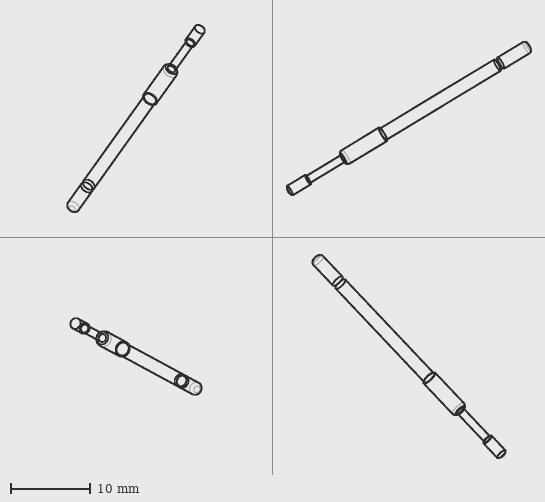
import cadquery as cq

total_length = 36.3

barrel_diameter = 1.67
barrel_radius = barrel_diameter / 2
tail_fillet = 0.4

groove_start = 4.2
groove_width = 0.55
groove_depth = 0.15
groove_end = groove_start + groove_width
groove_middle = groove_start + groove_width / 2
groove_floor_radius = barrel_radius - groove_depth

collar_diameter = 2.0
collar_radius = collar_diameter / 2
collar_start = 22.0
collar_end = 28.02
lead_in_length = 0.4
lead_in_drop = 0.18
lead_in_arc_radius = (lead_in_length**2 + lead_in_drop**2) / (2 * lead_in_drop)

shaft_diameter = 1.0
shaft_radius = shaft_diameter / 2
head_diameter = 1.4
head_radius = head_diameter / 2
head_length = 2.98
head_start = total_length - head_length
dome_height = 0.25
dome_radius = (head_radius**2 + dome_height**2) / (2 * dome_height)

half_section = (
    cq.Workplane("XY")
    .lineTo(barrel_radius - tail_fillet, 0)
    .radiusArc((barrel_radius, tail_fillet), -tail_fillet)
    .lineTo(barrel_radius, groove_start)
    .threePointArc((groove_floor_radius, groove_middle), (barrel_radius, groove_end))
    .lineTo(barrel_radius, collar_start)
    .lineTo(collar_radius, collar_start)
    .lineTo(collar_radius, collar_end - lead_in_length)
    .radiusArc((collar_radius - lead_in_drop, collar_end), -lead_in_arc_radius)
    .lineTo(shaft_radius, collar_end)
    .lineTo(shaft_radius, head_start)
    .lineTo(head_radius, head_start)
    .lineTo(head_radius, total_length - dome_height)
    .radiusArc((0, total_length), -dome_radius)
    .close()
)

result = half_section.revolve(360, (0, 0, 0), (0, 1, 0))